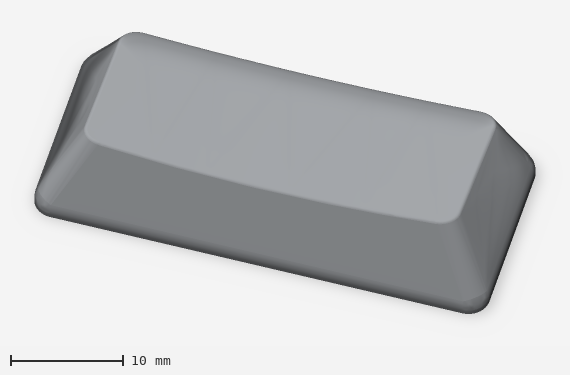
import cadquery as cq
import math

length = 41.95
width = 18.17
skirt_height = 1.0
side_radius = 1.95

side_inset = 3.75
front_inset = 3.75
back_inset = 0.38
front_height = 7.75
back_height = 6.13

dish_radius = 218.25
dish_edge_drop = 0.1
rim_radius = 0.35

top_length = length - 2 * side_inset
front_y = front_inset - width / 2
back_y = width / 2 - back_inset
run = back_y - front_y
fall = front_height - back_height
tilt = math.degrees(math.atan2(fall, run))
top_width = math.hypot(run, fall)
top_center = (0, (front_y + back_y) / 2, (front_height + back_height) / 2)
half_top = top_length / 2
dish_depth = dish_edge_drop + dish_radius - math.sqrt(dish_radius**2 - half_top**2)


def skirt():
    return cq.Workplane("XY").rect(length, width).extrude(skirt_height)


def sloping_body():
    """Four-sided taper from the skirt to the tilted upper outline."""
    lower = cq.Sketch().rect(length, width).moved(cq.Location(cq.Vector(0, 0, skirt_height)))
    upper_place = cq.Location(cq.Vector(*top_center), cq.Vector(1, 0, 0), -tilt)
    upper = cq.Sketch().rect(top_length, top_width).moved(upper_place)
    return cq.Workplane("XY").placeSketch(lower, upper).loft(ruled=True)


def dish_cutter():
    """Large cylinder whose axis runs front to back, parallel to the upper plane."""
    tool = (
        cq.Workplane("XZ")
        .center(0, dish_radius - dish_depth)
        .circle(dish_radius)
        .extrude(width, both=True)
    )
    return tool.rotate((0, 0, 0), (1, 0, 0), -tilt).translate(top_center)


def blend_sides(body):
    """Round the four corners and the shoulder, but not the underside or upper outline."""
    kept_sharp = body.faces("<Z or >Z").edges().vals()

    def is_blended(edge):
        return not any(edge.isSame(sharp_edge) for sharp_edge in kept_sharp)

    return body.edges().filter(is_blended).fillet(side_radius)


keycap = blend_sides(skirt().union(sloping_body()))
keycap = keycap.cut(dish_cutter())

result = keycap.faces(">Z").edges().fillet(rim_radius)